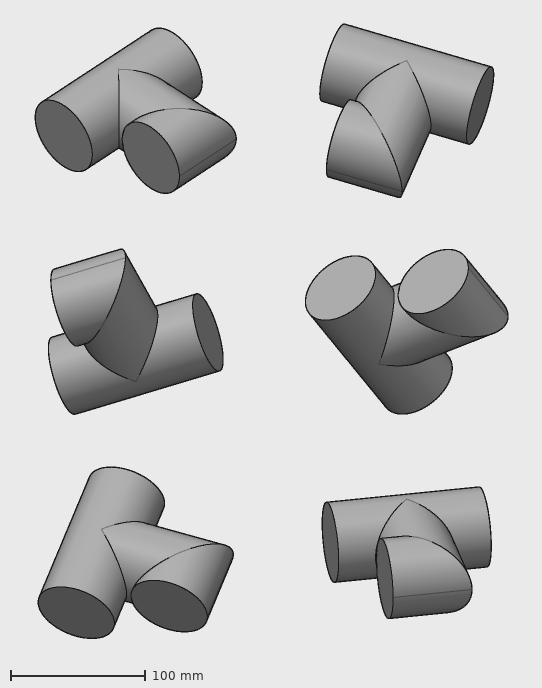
import cadquery as cq

overall_width = 123.5
pipe_diameter = 60.0
run_length = 116.0

pipe_radius = pipe_diameter / 2
outlet_x = overall_width - pipe_diameter
branch_end_x = outlet_x + pipe_radius


def pipe_along_y(center_x, start_y, end_y):
    """Solid round bar parallel to Y."""
    return (
        cq.Workplane("XZ", origin=(center_x, start_y, 0))
        .circle(pipe_radius)
        .extrude(start_y - end_y)
    )


def mitre_prism():
    """Triangular prism filling the outlet side of the 45 degree mitre plane."""
    return (
        cq.Workplane("XY")
        .moveTo(outlet_x - pipe_radius, -pipe_radius)
        .lineTo(branch_end_x, pipe_radius)
        .lineTo(branch_end_x, -pipe_radius)
        .close()
        .extrude(pipe_radius, both=True)
    )


run = pipe_along_y(0, -run_length / 2, run_length / 2)

branch = cq.Workplane("YZ").circle(pipe_radius).extrude(branch_end_x)
branch = branch.cut(mitre_prism())

outlet = pipe_along_y(outlet_x, -pipe_radius, pipe_radius)
outlet = outlet.intersect(mitre_prism())

result = run.union(branch).union(outlet)